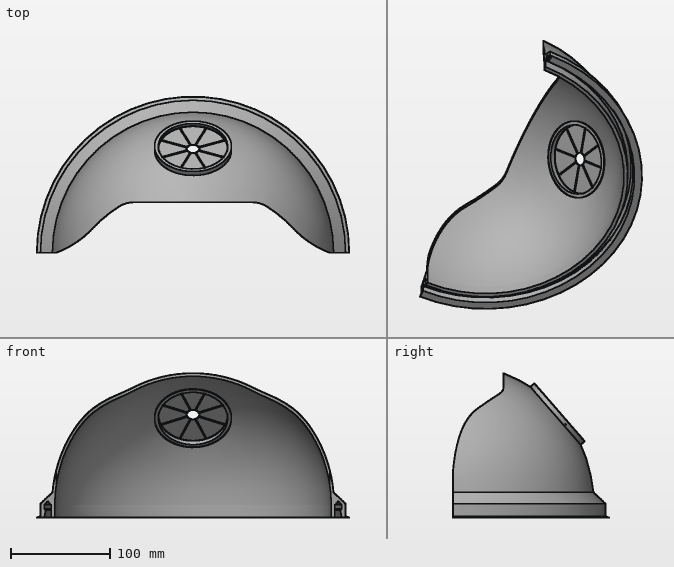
import cadquery as cq
import math

inner_radius = 139.192
wall = 3.048
outer_radius = inner_radius + wall
dome_center_z = 12.7

skirt_radius = 153.67
skirt_height = 13.97
flange_radius = 157.48
flange_height = 1.524

groove_width = 6.858
groove_radius = (inner_radius + skirt_radius) / 2
groove_spring_z = 12.7
roof_rise = 3.81
ledge_top_z = 8.89
ledge_lip_z = 7.366
ledge_reach = 1.524

opening_y = 50.8
brow_radius = 27.5
brow_turn_angle = 32.0
brow_end_x = 74.3
cheek_start_x = 100.8
cheek_turn_angle = 47.0
cheek_radius = 97.5

valve_elevation = 41.0
valve_diameter = 77.47
valve_bore = 69.85
valve_top = 142.24
valve_depth = 9.525
membrane_depth = 3.175
membrane_thickness = 0.762
membrane_hole = 12.7
slit_count = 8
slit_width = 0.762


def half_turn(outline):
    """Revolve an XZ outline about Z through the +Y half."""
    return outline.revolve(180, (0, 0, 0), (0, 1, 0))


def dome_shell():
    """Half ring skirt and dome, without the groove."""
    cone_top_z = skirt_height + skirt_radius - outer_radius
    dome_foot_radius = math.sqrt(outer_radius**2 - (cone_top_z - dome_center_z) ** 2)
    diagonal = math.sqrt(0.5)
    outline = (
        cq.Workplane("XZ")
        .moveTo(inner_radius, 0)
        .lineTo(flange_radius, 0)
        .lineTo(skirt_radius, flange_height)
        .lineTo(skirt_radius, skirt_height)
        .lineTo(dome_foot_radius, cone_top_z)
        .threePointArc(
            (outer_radius * diagonal, dome_center_z + outer_radius * diagonal),
            (0, dome_center_z + outer_radius),
        )
        .lineTo(0, dome_center_z + inner_radius)
        .threePointArc(
            (inner_radius * diagonal, dome_center_z + inner_radius * diagonal),
            (inner_radius, dome_center_z),
        )
        .close()
    )
    return half_turn(outline)


def skirt_groove():
    """Half ring that hollows the skirt from below."""
    half_width = groove_width / 2
    outline = (
        cq.Workplane("XZ")
        .moveTo(groove_radius - half_width, 0)
        .lineTo(groove_radius + half_width, 0)
        .lineTo(groove_radius + half_width - ledge_reach, ledge_lip_z)
        .lineTo(groove_radius + half_width, ledge_top_z)
        .lineTo(groove_radius + half_width, groove_spring_z)
        .lineTo(groove_radius, groove_spring_z + roof_rise)
        .lineTo(groove_radius - half_width, groove_spring_z)
        .close()
    )
    return half_turn(outline)


def front_opening():
    """Vertical prism cut from the front: straight brow, with three tangent arcs sweeping down each side."""
    brow_turn = math.radians(brow_turn_angle)
    cheek_turn = math.radians(cheek_turn_angle)

    brow_center = (brow_end_x - brow_radius * math.sin(brow_turn), opening_y - brow_radius)
    temple_radius = (cheek_start_x - brow_end_x) / (math.sin(cheek_turn) - math.sin(brow_turn))
    temple_center = (
        brow_end_x - temple_radius * math.sin(brow_turn),
        brow_center[1] + (brow_radius - temple_radius) * math.cos(brow_turn),
    )
    cheek_center = (
        cheek_start_x + cheek_radius * math.sin(cheek_turn),
        temple_center[1] + (temple_radius + cheek_radius) * math.cos(cheek_turn),
    )
    foot_turn = math.acos(cheek_center[1] / cheek_radius)

    def crown_point(center, radius, turn):
        return (center[0] + radius * math.sin(turn), center[1] + radius * math.cos(turn))

    def hollow_point(center, radius, turn):
        return (center[0] - radius * math.sin(turn), center[1] - radius * math.cos(turn))

    clear_y = -wall
    half = (
        cq.Workplane("XY")
        .moveTo(0, clear_y)
        .lineTo(0, opening_y)
        .lineTo(brow_center[0], opening_y)
        .threePointArc(
            crown_point(brow_center, brow_radius, brow_turn / 2),
            crown_point(brow_center, brow_radius, brow_turn),
        )
        .threePointArc(
            crown_point(temple_center, temple_radius, (brow_turn + cheek_turn) / 2),
            crown_point(temple_center, temple_radius, cheek_turn),
        )
        .threePointArc(
            hollow_point(cheek_center, cheek_radius, (cheek_turn + foot_turn) / 2),
            hollow_point(cheek_center, cheek_radius, foot_turn),
        )
        .lineTo(hollow_point(cheek_center, cheek_radius, foot_turn)[0], clear_y)
        .close()
        .extrude(dome_center_z + 2 * outer_radius)
    )
    return half.union(half.mirror("YZ"))


def valve_plane(distance):
    """Workplane square to the valve axis, at a distance from the dome's center."""
    tilt = math.radians(valve_elevation)
    axis = (0, math.cos(tilt), math.sin(tilt))
    origin = (0, distance * axis[1], dome_center_z + distance * axis[2])
    return cq.Workplane(cq.Plane(origin=origin, xDir=(1, 0, 0), normal=axis))


def valve_seat():
    """Round cutter that clears the dome wall for the valve."""
    return valve_plane(valve_top - valve_depth).circle(valve_diameter / 2).extrude(2 * valve_depth)


def valve():
    """Ring with a thin membrane, slit into flaps around a center hole."""
    base = valve_top - valve_depth
    ring = valve_plane(base).circle(valve_diameter / 2).circle(valve_bore / 2).extrude(valve_depth)
    membrane_base = valve_top - membrane_depth - membrane_thickness
    membrane = (
        valve_plane(membrane_base)
        .circle(valve_bore / 2)
        .circle(membrane_hole / 2)
        .extrude(membrane_thickness)
    )
    slit_length = valve_bore / 2
    slit_step = 360 / slit_count
    slits = (
        valve_plane(membrane_base)
        .polarArray(slit_length / 2, slit_step / 2, 360, slit_count)
        .rect(slit_length, slit_width)
        .extrude(membrane_thickness)
    )
    return ring.union(membrane.cut(slits))


shell = dome_shell().cut(skirt_groove()).cut(front_opening())
result = shell.cut(valve_seat()).union(valve())